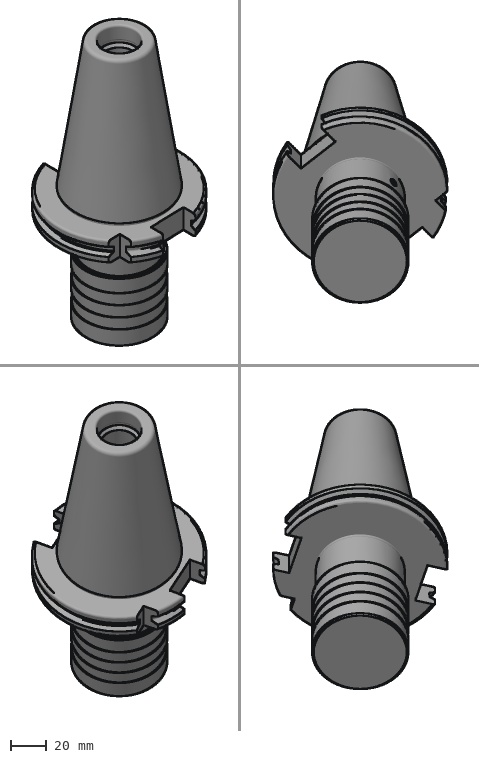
import cadquery as cq
import math

TAPER_LENGTH = 101.75
PROJECTION = 93.9

RADIUS_PER_LENGTH = 7 / 24 / 2
GAUGE_RADIUS = 69.85 / 2
TAPER_END_RADIUS = GAUGE_RADIUS - TAPER_LENGTH * RADIUS_PER_LENGTH
TAPER_END_ROUNDING = 2.5

UNDERCUT_WIDTH = 2.2
UNDERCUT_DEPTH = 0.2
UNDERCUT_RAMP_ANGLE = 15
UNDERCUT_RAMP = UNDERCUT_DEPTH / math.tan(math.radians(UNDERCUT_RAMP_ANGLE))

FLANGE_RADIUS = 97.5 / 2
FLANGE_TOP = -3.2
FLANGE_BOTTOM = -19.1
FLANGE_ROUNDING = 1.5
GROOVE_CENTER = -11.1
GROOVE_RADIUS = 91.25 / 2
GROOVE_MOUTH = 7.0
GROOVE_FLANK_ANGLE = 30
GROOVE_FLOOR_FILLET = 0.8
GROOVE_FLANK_HEIGHT = (FLANGE_RADIUS - GROOVE_RADIUS) * math.tan(math.radians(GROOVE_FLANK_ANGLE))
GROOVE_FLOOR = GROOVE_MOUTH - 2 * GROOVE_FLANK_HEIGHT

COLLAR_TOP = FLANGE_TOP + UNDERCUT_WIDTH
COLLAR_RADIUS = GAUGE_RADIUS - COLLAR_TOP * RADIUS_PER_LENGTH

SLOT_WIDTH = 25.7
LEFT_SLOT_FLOOR = 35.5
RIGHT_SLOT_FLOOR = 37.7
NOTCH_OFFSET = 29.8

NECK_RADIUS = 25.0
NOSE_RADIUS = 27.0
NOSE_TOP = -45.6
NOSE_TOP_CHAMFER = 0.6
NOSE_END_CHAMFER = 1.0
BAND_RADIUS = 26.5
BAND_WIDTH = 8.4
BAND_TOPS = (-56.4, -73.4)

EDGE_TOLERANCE = 0.01

COUNTERBORE_RADIUS = 12.5
COUNTERBORE_DEPTH = 11.9
COUNTERBORE_ROUNDING = 1.4
BORE_RADIUS = 10.5
BORE_DEPTH = 40.0
BORE_SEAT_DEPTH = COUNTERBORE_DEPTH + COUNTERBORE_RADIUS - BORE_RADIUS
DRILL_HALF_ANGLE = 59

SCREW_Z = -32.6
SCREW_RADIUS = 2.1
SCREW_MOUTH_RADIUS = 2.5
SCREW_DEPTH = 6.0
PASSAGE_RADIUS = 1.0
PASSAGE_DEPTH = 12.0


def revolve_profile(points):
    """Revolve a closed outline of (radius, z) points about the Z axis."""
    return cq.Workplane("XZ").polyline(points).close().revolve(360, (0, 0, 0), (0, 1, 0))


def fillet_circles(body, circles, circle_radius, fillet_radius):
    """Fillet those of the given circular edges that have the wanted radius."""
    matching = [
        edge for edge in circles.vals()
        if abs(edge.radius() - circle_radius) < EDGE_TOLERANCE
    ]
    return body.newObject(matching).fillet(fillet_radius)


def drill_tip(radius):
    """Height of the conical end left by a drill of the given radius."""
    return radius / math.tan(math.radians(DRILL_HALF_ANGLE))


def undercut(radius, shoulder_z, z_direction, depth_direction):
    """Ring cutter for an undercut ending at a shoulder.

    z_direction points from the shoulder along the turned surface, and
    depth_direction is -1 to cut into a shaft or +1 to cut into a bore wall.
    """
    floor_radius = radius + depth_direction * UNDERCUT_DEPTH
    arc_drop = UNDERCUT_DEPTH * (1 - math.sqrt(0.5))
    profile = (
        cq.Workplane("XZ")
        .moveTo(radius, shoulder_z)
        .lineTo(radius, shoulder_z + z_direction * UNDERCUT_WIDTH)
        .lineTo(floor_radius, shoulder_z + z_direction * (UNDERCUT_WIDTH - UNDERCUT_RAMP))
        .lineTo(floor_radius, shoulder_z + z_direction * UNDERCUT_DEPTH)
        .threePointArc(
            (floor_radius - depth_direction * arc_drop, shoulder_z + z_direction * arc_drop),
            (radius, shoulder_z),
        )
        .close()
    )
    return profile.revolve(360, (0, 0, 0), (0, 1, 0))


def taper():
    cone = revolve_profile([
        (0, FLANGE_TOP),
        (COLLAR_RADIUS, FLANGE_TOP),
        (COLLAR_RADIUS, COLLAR_TOP),
        (TAPER_END_RADIUS, TAPER_LENGTH),
        (0, TAPER_LENGTH),
    ])
    cone = cone.faces(">Z").edges().fillet(TAPER_END_ROUNDING)
    return cone.cut(undercut(COLLAR_RADIUS, FLANGE_TOP, 1, -1))


def flange_pocket(x_min, y_min, x_size, y_size):
    """Rectangular cutter through the full thickness of the flange."""
    box = cq.Workplane("XY").box(x_size, y_size, FLANGE_TOP - FLANGE_BOTTOM, centered=False)
    return box.translate((x_min, y_min, FLANGE_BOTTOM))


def flange():
    half_mouth = GROOVE_MOUTH / 2
    half_floor = GROOVE_FLOOR / 2
    body = revolve_profile([
        (0, FLANGE_BOTTOM),
        (FLANGE_RADIUS, FLANGE_BOTTOM),
        (FLANGE_RADIUS, GROOVE_CENTER - half_mouth),
        (GROOVE_RADIUS, GROOVE_CENTER - half_floor),
        (GROOVE_RADIUS, GROOVE_CENTER + half_floor),
        (FLANGE_RADIUS, GROOVE_CENTER + half_mouth),
        (FLANGE_RADIUS, FLANGE_TOP),
        (0, FLANGE_TOP),
    ])
    body = body.faces("<Z or >Z").edges().fillet(FLANGE_ROUNDING)
    body = fillet_circles(body, body.edges("%CIRCLE"), GROOVE_RADIUS, GROOVE_FLOOR_FILLET)
    slot_start = -SLOT_WIDTH / 2
    left_slot = flange_pocket(-FLANGE_RADIUS, slot_start, FLANGE_RADIUS - LEFT_SLOT_FLOOR, SLOT_WIDTH)
    right_slot = flange_pocket(RIGHT_SLOT_FLOOR, slot_start, FLANGE_RADIUS - RIGHT_SLOT_FLOOR, SLOT_WIDTH)
    notch_size = FLANGE_RADIUS - NOTCH_OFFSET
    notch = flange_pocket(NOTCH_OFFSET, -FLANGE_RADIUS, notch_size, notch_size)
    return body.cut(left_slot).cut(right_slot).cut(notch)


def neck():
    height = FLANGE_BOTTOM - NOSE_TOP
    shaft = cq.Workplane("XY").workplane(offset=NOSE_TOP).circle(NECK_RADIUS).extrude(height)
    return shaft.cut(undercut(NECK_RADIUS, FLANGE_BOTTOM, -1, -1))


def nose():
    outline = [
        (0, NOSE_TOP),
        (NOSE_RADIUS - NOSE_TOP_CHAMFER, NOSE_TOP),
        (NOSE_RADIUS, NOSE_TOP - NOSE_TOP_CHAMFER),
    ]
    for band_top in BAND_TOPS:
        outline += [
            (NOSE_RADIUS, band_top),
            (BAND_RADIUS, band_top),
            (BAND_RADIUS, band_top - BAND_WIDTH),
            (NOSE_RADIUS, band_top - BAND_WIDTH),
        ]
    outline += [
        (NOSE_RADIUS, -PROJECTION + NOSE_END_CHAMFER),
        (NOSE_RADIUS - NOSE_END_CHAMFER, -PROJECTION),
        (0, -PROJECTION),
    ]
    return revolve_profile(outline)


def draw_bolt_bore():
    counterbore_floor = TAPER_LENGTH - COUNTERBORE_DEPTH
    bore_floor = TAPER_LENGTH - BORE_DEPTH
    bore = revolve_profile([
        (0, TAPER_LENGTH),
        (COUNTERBORE_RADIUS, TAPER_LENGTH),
        (COUNTERBORE_RADIUS, counterbore_floor),
        (BORE_RADIUS, TAPER_LENGTH - BORE_SEAT_DEPTH),
        (BORE_RADIUS, bore_floor),
        (0, bore_floor - drill_tip(BORE_RADIUS)),
    ])
    return bore.union(undercut(COUNTERBORE_RADIUS, counterbore_floor, 1, 1))


def screw_hole():
    mouth_chamfer = SCREW_MOUTH_RADIUS - SCREW_RADIUS
    drill = revolve_profile([
        (0, 0),
        (SCREW_MOUTH_RADIUS, 0),
        (SCREW_RADIUS, -mouth_chamfer),
        (SCREW_RADIUS, -SCREW_DEPTH),
        (PASSAGE_RADIUS, -SCREW_DEPTH),
        (PASSAGE_RADIUS, -PASSAGE_DEPTH),
        (0, -PASSAGE_DEPTH),
    ])
    return drill.rotate((0, 0, 0), (1, 0, 0), 90).translate((0, -NECK_RADIUS, SCREW_Z))


result = taper().union(flange()).union(neck()).union(nose())
result = result.cut(draw_bolt_bore())
result = fillet_circles(result, result.faces(">Z").edges(), COUNTERBORE_RADIUS, COUNTERBORE_ROUNDING)
result = result.cut(screw_hole())